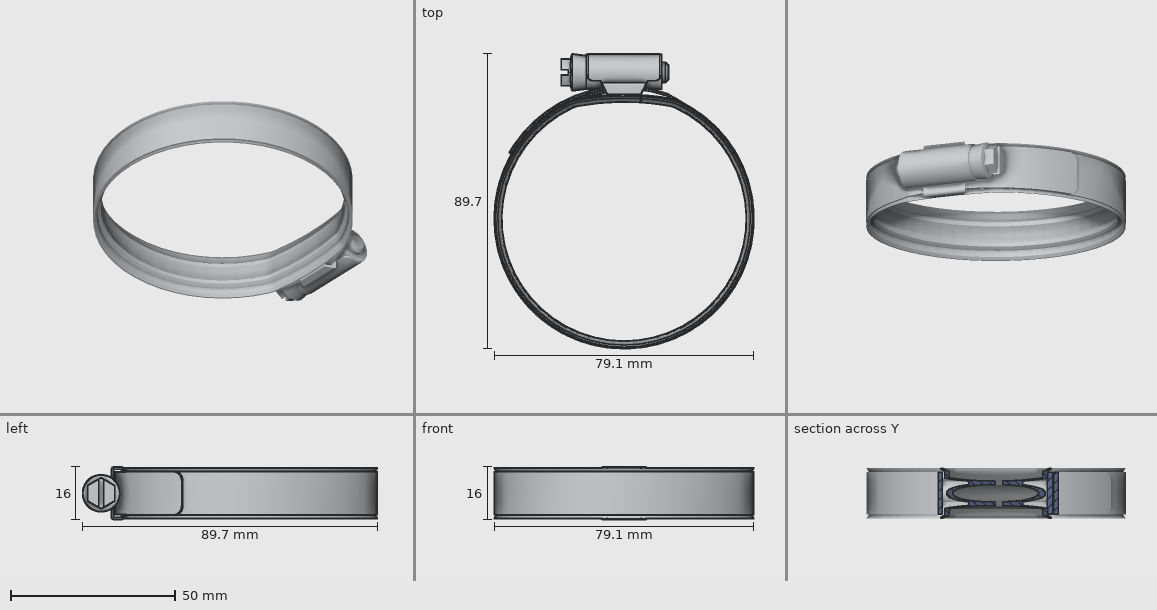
import cadquery as cq
import math


clamp_radius = 39.53

strap_thickness = 0.7
strap_width = 13.0
layer_gap = 0.08
strap_inner_radius = clamp_radius - strap_thickness
tail_inner_radius = clamp_radius + layer_gap
strap_start_angle = 82.5
tail_kink_angle = 71.0
tail_end_angle = 150.1
tail_corner_radius = 2.6

liner_thickness = 0.4
liner_half_width = 7.7
wall_outer_radius = strap_inner_radius
wall_inner_radius = wall_outer_radius - liner_thickness
bead_inner_radius = 37.2
lip_start_z = 6.65
bead_slope_start_z = 4.78
bead_outer_z = 3.8
groove_half_width = 2.55
groove_depth = 1.05
bead_fold = math.atan2(wall_inner_radius - bead_inner_radius, bead_slope_start_z - bead_outer_z)
fold_shift = liner_thickness * math.tan(bead_fold / 2)
groove_fold = 2 * math.atan2(groove_depth, groove_half_width)
groove_shift = liner_thickness * math.tan(groove_fold / 2)
lip_fold = math.atan2(clamp_radius - wall_outer_radius, liner_half_width - lip_start_z)
lip_shift = liner_thickness * math.tan(lip_fold / 2)
lip_edge = liner_thickness / math.cos(lip_fold)

flat_start_angle = 65.0
blend_radius = 10.0
seam_x = 5.2
seam_gap = 0.06

screw_axis_y = 44.56
worm_half_length = 11.5
worm_radius = 5.2
strap_clearance = 0.05
collar_rear_radius = 5.1
collar_front_radius = 5.64
collar_front_x = -15.75
collar_face_depth = 0.6
hex_across_flats = 8.2
hex_end_x = -19.15
slot_width = 1.5
slot_depth = 2.15
stub_radius = 3.1
stub_shoulder_x = 12.6
stub_end_radius = 2.15
stub_end_x = 13.55

housing_outer_radius = 5.64
shelf_top_y = 41.44
shelf_thickness = 0.75
box_half_width = 8.0
leg_thickness = 0.75
box_bottom_y = 37.87
plate_thickness = 0.55
box_corner_radius = 0.8
plate_corner_radius = 0.5
arch_edge_y = 42.0
arch_corner_radius = 2.2
box_top_half_length = 7.15
box_bottom_half_length = 5.15
rim_width = 0.6
rim_depth = 0.1


def polar(radius, angle):
    """Point at an angle in degrees, counterclockwise from +X."""
    return (radius * math.cos(math.radians(angle)), radius * math.sin(math.radians(angle)))


def make_strap():
    inner, outer = strap_inner_radius, clamp_radius
    tail_inner, tail_outer = tail_inner_radius, tail_inner_radius + strap_thickness
    ramp_angle = tail_kink_angle - math.degrees(math.acos(inner / tail_inner))
    outer_kink_angle = ramp_angle + math.degrees(math.acos(outer / tail_outer))
    turn_end_angle = ramp_angle + 360
    turn_middle_angle = (strap_start_angle + turn_end_angle) / 2
    tail_middle_angle = (tail_kink_angle + tail_end_angle) / 2
    strap = (
        cq.Workplane("XY", origin=(0, 0, -strap_width / 2))
        .moveTo(*polar(inner, strap_start_angle))
        .threePointArc(polar(inner, turn_middle_angle), polar(inner, turn_end_angle))
        .lineTo(*polar(tail_inner, tail_kink_angle))
        .threePointArc(polar(tail_inner, tail_middle_angle), polar(tail_inner, tail_end_angle))
        .lineTo(*polar(tail_outer, tail_end_angle))
        .threePointArc(polar(tail_outer, tail_middle_angle), polar(tail_outer, outer_kink_angle))
        .lineTo(*polar(outer, ramp_angle))
        .threePointArc(polar(outer, turn_middle_angle), polar(outer, strap_start_angle))
        .close()
        .extrude(strap_width)
    )
    tail_x, tail_y = polar((tail_inner + tail_outer) / 2, tail_end_angle)
    for side in (-1, 1):
        corner = cq.selectors.NearestToPointSelector((tail_x, tail_y, side * strap_width / 2))
        strap = strap.edges(corner).fillet(tail_corner_radius)
    return strap


def liner_arc(center, path_radius, start_angle, end_angle):
    """Liner section swept about a center, with its lip edges at the path radius."""
    start = math.radians(start_angle)
    outward = cq.Vector(math.cos(start), math.sin(start), 0)
    plane = cq.Plane(origin=(*center, 0), xDir=outward, normal=outward.cross(cq.Vector(0, 0, 1)))
    shift = path_radius - clamp_radius
    lip = clamp_radius + shift
    wall_inner = wall_inner_radius + shift
    wall_outer = wall_outer_radius + shift
    bead_inner = bead_inner_radius + shift
    bead_outer = bead_inner + liner_thickness
    groove_inner = bead_inner + groove_depth
    groove_outer = groove_inner + liner_thickness
    outer_upper = [
        (lip, liner_half_width),
        (wall_outer, lip_start_z),
        (wall_outer, bead_slope_start_z - fold_shift),
        (bead_outer, bead_outer_z - fold_shift),
        (bead_outer, groove_half_width + groove_shift),
    ]
    inner_upper = [
        (bead_inner, groove_half_width),
        (bead_inner, bead_outer_z),
        (wall_inner, bead_slope_start_z),
        (wall_inner, lip_start_z + lip_shift),
        (lip - lip_edge, liner_half_width),
    ]
    outer_lower = [(r, -z) for r, z in reversed(outer_upper)]
    inner_lower = [(r, -z) for r, z in reversed(inner_upper)]
    return (
        cq.Workplane(plane)
        .polyline(outer_upper)
        .threePointArc((groove_outer, 0), outer_lower[0])
        .polyline(outer_lower[1:] + inner_lower, includeCurrent=True)
        .threePointArc((groove_inner, 0), inner_upper[0])
        .polyline(inner_upper[1:], includeCurrent=True)
        .close()
        .revolve(end_angle - start_angle, (0, 0), (0, 1))
    )


def make_liner():
    blend_x, blend_y = polar(clamp_radius - blend_radius, flat_start_angle)
    rise = box_bottom_y - blend_y - blend_radius
    flat_half_angle = 2 * math.atan(rise / blend_x)
    flat_end_angle = 90 - math.degrees(flat_half_angle)
    flat_radius = blend_x / math.sin(flat_half_angle) + blend_radius
    flat_center = (0, box_bottom_y - flat_radius)
    seam_right_angle = math.degrees(math.acos(seam_x / flat_radius))
    seam_left_angle = math.degrees(math.acos((seam_x - seam_gap) / flat_radius))
    right_flat = liner_arc(flat_center, flat_radius, flat_end_angle, seam_right_angle)
    left_flat = liner_arc(flat_center, flat_radius, seam_left_angle, 180 - flat_end_angle)
    right_blend = liner_arc((blend_x, blend_y), blend_radius, flat_start_angle, flat_end_angle)
    left_blend = right_blend.mirror("YZ")
    main_turn = liner_arc((0, 0), clamp_radius, 180 - flat_start_angle, 360 + flat_start_angle)
    return main_turn.union(left_blend).union(right_blend).union(left_flat).union(right_flat)


def make_screw():
    waist_curve_radius = tail_inner_radius + strap_thickness + strap_clearance
    waist_radius = screw_axis_y - waist_curve_radius
    waist_half_length = math.sqrt(waist_curve_radius**2 - (screw_axis_y - worm_radius) ** 2)
    collar_face_radius = hex_across_flats / 2
    body = (
        cq.Workplane("XY", origin=(0, screw_axis_y, 0))
        .moveTo(collar_front_x - collar_face_depth, 0)
        .lineTo(collar_front_x - collar_face_depth, collar_face_radius)
        .lineTo(collar_front_x, collar_front_radius)
        .lineTo(-worm_half_length, collar_rear_radius)
        .lineTo(-worm_half_length, worm_radius)
        .lineTo(-waist_half_length, worm_radius)
        .threePointArc((0, waist_radius), (waist_half_length, worm_radius))
        .lineTo(worm_half_length, worm_radius)
        .lineTo(worm_half_length, stub_radius)
        .lineTo(stub_shoulder_x, stub_radius)
        .lineTo(stub_end_x, stub_end_radius)
        .lineTo(stub_end_x, 0)
        .close()
        .revolve(360, (0, 0), (1, 0))
    )
    hex_diameter = hex_across_flats / math.cos(math.pi / 6)
    hex_head = (
        cq.Workplane("YZ", origin=(hex_end_x, screw_axis_y, 0))
        .transformed(rotate=(0, 0, 90))
        .polygon(6, hex_diameter)
        .extrude(collar_front_x - hex_end_x)
    )
    slot = cq.Workplane("XY", origin=(hex_end_x, screw_axis_y, 0)).box(
        2 * slot_depth, slot_width, 2 * hex_across_flats
    )
    return body.union(hex_head).cut(slot)


def x_cylinder(radius, x_start, x_end):
    """Cylinder on the screw axis."""
    return (
        cq.Workplane("YZ", origin=(x_start, screw_axis_y, 0)).circle(radius).extrude(x_end - x_start)
    )


def make_housing():
    length = 2 * worm_half_length
    box_height = shelf_top_y - box_bottom_y
    opening_bottom_y = box_bottom_y + plate_thickness
    opening_top_y = shelf_top_y - shelf_thickness
    opening_height = opening_top_y - opening_bottom_y
    box = (
        cq.Workplane("XY", origin=(0, box_bottom_y + box_height / 2, 0))
        .box(length, box_height, 2 * box_half_width)
        .edges("|X and >Y")
        .fillet(box_corner_radius)
        .edges("|X and <Y")
        .fillet(plate_corner_radius)
    )
    opening = cq.Workplane("XY", origin=(0, opening_bottom_y + opening_height / 2, 0)).box(
        length, opening_height, 2 * (box_half_width - leg_thickness)
    )
    barrel = x_cylinder(housing_outer_radius, -worm_half_length, worm_half_length)
    below_shelf = cq.Workplane("XY", origin=(0, opening_top_y - housing_outer_radius, 0)).box(
        length, 2 * housing_outer_radius, 2 * housing_outer_radius
    )
    bore = x_cylinder(worm_radius, -worm_half_length, worm_half_length)
    housing = barrel.cut(below_shelf).union(box.cut(opening)).cut(bore)

    top_y = screw_axis_y + housing_outer_radius
    corner_x = worm_half_length - arch_corner_radius
    corner_y = arch_edge_y + arch_corner_radius
    corner_middle = arch_corner_radius * math.sin(math.pi / 4)
    outline = (
        cq.Workplane("XY", origin=(0, 0, -box_half_width))
        .moveTo(0, top_y)
        .lineTo(worm_half_length, top_y)
        .lineTo(worm_half_length, corner_y)
        .threePointArc((corner_x + corner_middle, corner_y - corner_middle), (corner_x, arch_edge_y))
        .lineTo(box_top_half_length, arch_edge_y)
        .lineTo(box_bottom_half_length, box_bottom_y)
        .lineTo(0, box_bottom_y)
        .mirrorY()
        .extrude(2 * box_half_width)
    )
    housing = housing.intersect(outline)

    rim_start = worm_half_length - rim_width
    rim = x_cylinder(housing_outer_radius + rim_depth, rim_start, worm_half_length).cut(
        x_cylinder(housing_outer_radius - rim_depth, rim_start, worm_half_length)
    )
    return housing.cut(rim).cut(rim.mirror("YZ"))


strap = make_strap()
liner = make_liner()
screw = make_screw()
housing = make_housing()

result = cq.Compound.makeCompound([strap.val(), liner.val(), screw.val(), housing.val()])